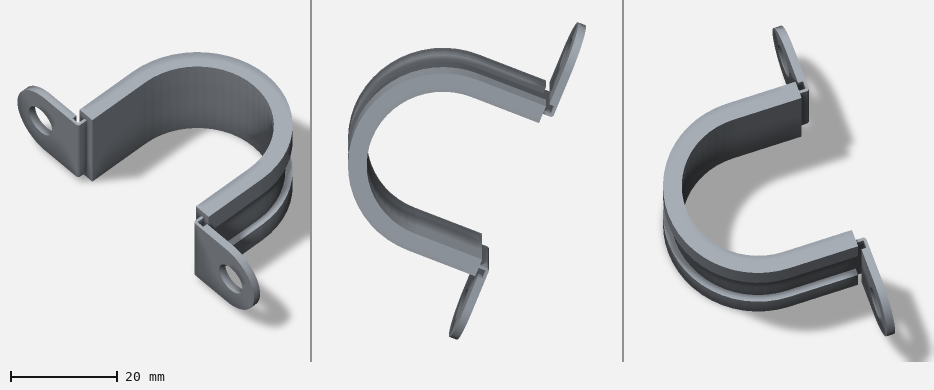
import cadquery as cq

outer_radius = 17.8
wall = 3.5
leg_length = 13.6
saddle_width = 18.0

channel_width = 8.8
channel_depth = 1.4

strip_thickness = 0.6
strip_outer_x = outer_radius - channel_depth
strip_inner_x = strip_outer_x - strip_thickness
bend_radius = 0.6

half_length = 32.6
tab_width = 15.1
tab_thickness = 1.55
tab_radius = tab_width / 2
tab_thick_start_x = 18.0
leg_to_tab_face = 2.15
hole_x = 26.2
hole_diameter = 6.4

leg_end_y = -leg_length
tab_face_y = leg_end_y - leg_to_tab_face


def arch(radius, width):
    """Solid arch with straight legs, centred on the XY plane."""
    return (
        cq.Workplane("XY")
        .moveTo(-radius, leg_end_y)
        .lineTo(-radius, 0)
        .threePointArc((0, radius), (radius, 0))
        .lineTo(radius, leg_end_y)
        .close()
        .extrude(width / 2, both=True)
    )


def saddle():
    """U-shaped wall with a channel around its outer face."""
    body = arch(outer_radius, saddle_width).cut(arch(outer_radius - wall, saddle_width))
    channel = arch(outer_radius, channel_width).cut(arch(strip_outer_x, channel_width))
    return body.cut(channel)


def right_tab():
    """Bent strip that thickens into a round-ended tab with a hole."""
    thin_back_y = tab_face_y + strip_thickness
    thick_back_y = tab_face_y + tab_thickness
    bent_profile = (
        cq.Workplane("XY")
        .moveTo(strip_inner_x, leg_end_y)
        .lineTo(strip_outer_x, leg_end_y)
        .lineTo(strip_outer_x, thin_back_y)
        .lineTo(tab_thick_start_x, thin_back_y)
        .lineTo(tab_thick_start_x, thick_back_y)
        .lineTo(half_length, thick_back_y)
        .lineTo(half_length, tab_face_y)
        .lineTo(strip_inner_x + bend_radius, tab_face_y)
        .radiusArc((strip_inner_x, tab_face_y + bend_radius), bend_radius)
        .close()
        .extrude(tab_width / 2, both=True)
    )
    end_center_x = half_length - tab_radius
    face_outline = (
        cq.Workplane("XZ", origin=(0, leg_end_y, 0))
        .moveTo(strip_inner_x, -tab_radius)
        .lineTo(end_center_x, -tab_radius)
        .threePointArc((half_length, 0), (end_center_x, tab_radius))
        .lineTo(strip_inner_x, tab_radius)
        .close()
        .extrude(leg_to_tab_face)
    )
    hole = (
        cq.Workplane("XZ", origin=(hole_x, leg_end_y, 0))
        .circle(hole_diameter / 2)
        .extrude(leg_to_tab_face)
    )
    return bent_profile.intersect(face_outline).cut(hole)


tab = right_tab()
result = saddle().union(tab).union(tab.mirror("YZ"))